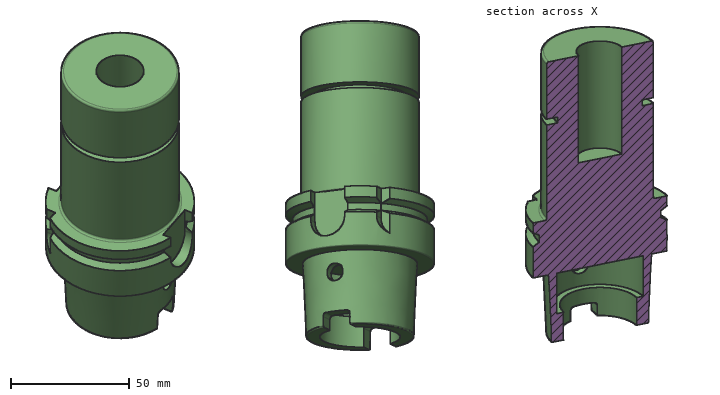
import cadquery as cq
import math


total_length = 132.0
shank_length = 32.0
flange_thickness = 26.0
flange_top = shank_length + flange_thickness
head_length = 26.9
head_bottom = total_length - head_length
neck_length = 2.5
neck_bottom = head_bottom - neck_length

flange_radius = 63.0 / 2
body_radius = 50.0 / 2
neck_radius = 40.0 / 2
head_fillet = 1.0
body_root_fillet = 1.0
flange_bottom_fillet = 0.4

shank_root_radius = 24.3
shank_tip_radius = 22.8
shank_end_fillet = 0.7

groove_center = shank_length + 18.0
groove_radius = 28.5
groove_opening = 6.5
groove_flank_angle = 30.0

edge_margin = 0.1

tool_bore_diameter = 20.0
tool_bore_depth = 50.2
mouth_bore_diameter = 34.0
clamp_bore_diameter = 40.1
clamp_bore_start = 13.2

slot_floor = 26.5
slot_center_height = 45.0
left_slot_width = 16.0
right_slot_width = 18.2
slot_bottom = slot_center_height - left_slot_width / 2

notch_offset = 20.0
notch_width = left_slot_width

drive_slot_width = 12.5
drive_slot_fillet = 1.5
left_drive_slot_depth = 6.1
right_drive_slot_depth = 9.8
cross_hole_diameter = 7.5
cross_hole_height = 23.0


def turned_body():
    """Revolve the outer profile: tapered shank, grooved flange, body, neck and head."""
    flank_height = (flange_radius - groove_radius) * math.tan(math.radians(groove_flank_angle))
    groove_low = groove_center - groove_opening / 2
    groove_high = groove_center + groove_opening / 2
    profile = (
        cq.Workplane("XZ")
        .moveTo(0, 0)
        .lineTo(shank_tip_radius, 0)
        .lineTo(shank_root_radius, shank_length)
        .lineTo(flange_radius, shank_length)
        .lineTo(flange_radius, groove_low)
        .lineTo(groove_radius, groove_low + flank_height)
        .lineTo(groove_radius, groove_high - flank_height)
        .lineTo(flange_radius, groove_high)
        .lineTo(flange_radius, flange_top)
        .lineTo(body_radius, flange_top)
        .lineTo(body_radius, neck_bottom)
        .lineTo(neck_radius, neck_bottom)
        .lineTo(neck_radius, head_bottom)
        .lineTo(body_radius, head_bottom)
        .lineTo(body_radius, total_length)
        .lineTo(0, total_length)
        .close()
    )
    return profile.revolve(360, (0, 0, 0), (0, 1, 0))


def round_rim(solid, radius, height, fillet):
    """Fillet the circular edge of the given radius at the given height."""
    lower_corner = (-radius - edge_margin, -radius - edge_margin, height - edge_margin)
    upper_corner = (radius + edge_margin, radius + edge_margin, height + edge_margin)
    nearby = cq.selectors.BoxSelector(lower_corner, upper_corner, boundingbox=True)
    outermost = cq.selectors.RadiusNthSelector(-1)
    return solid.edges(nearby).edges(outermost).fillet(fillet)


def rim_slot(side, width, center_y, floor, round_center):
    """Round-bottomed cutter running up through the flange top, outside x = side * floor."""
    half_width = width / 2
    return (
        cq.Workplane("YZ", origin=(side * floor, 0, 0))
        .moveTo(center_y - half_width, flange_top)
        .lineTo(center_y - half_width, round_center)
        .threePointArc(
            (center_y, round_center - half_width),
            (center_y + half_width, round_center),
        )
        .lineTo(center_y + half_width, flange_top)
        .close()
        .extrude(side * flange_radius)
    )


def drive_slot(side, depth):
    """Slot across one wall of the shank end, with rounded inner corners."""
    return (
        cq.Workplane("XY")
        .box(flange_radius, drive_slot_width, 2 * depth)
        .edges("|X and >Z")
        .fillet(drive_slot_fillet)
        .translate((side * flange_radius / 2, 0, 0))
    )


holder = turned_body()
for radius, height, fillet in (
    (shank_tip_radius, 0, shank_end_fillet),
    (flange_radius, shank_length, flange_bottom_fillet),
    (body_radius, flange_top, body_root_fillet),
    (body_radius, total_length, head_fillet),
):
    holder = round_rim(holder, radius, height, fillet)

tool_bore = (
    cq.Workplane("XY", origin=(0, 0, total_length - tool_bore_depth))
    .circle(tool_bore_diameter / 2)
    .extrude(tool_bore_depth)
)
holder = holder.cut(tool_bore)

mouth_bore = cq.Workplane("XY").circle(mouth_bore_diameter / 2).extrude(clamp_bore_start)
clamp_bore = (
    cq.Workplane("XY", origin=(0, 0, clamp_bore_start))
    .circle(clamp_bore_diameter / 2)
    .extrude(shank_length - clamp_bore_start)
)
holder = holder.cut(mouth_bore).cut(clamp_bore)

for side, width in ((-1, left_slot_width), (1, right_slot_width)):
    holder = holder.cut(rim_slot(side, width, 0, slot_floor, slot_bottom + width / 2))

notch_center_y = -notch_offset - notch_width / 2
holder = holder.cut(rim_slot(-1, notch_width, notch_center_y, notch_offset, slot_center_height))

for side, depth in ((-1, left_drive_slot_depth), (1, right_drive_slot_depth)):
    holder = holder.cut(drive_slot(side, depth))

cross_hole = (
    cq.Workplane("YZ", origin=(0, 0, cross_hole_height))
    .circle(cross_hole_diameter / 2)
    .extrude(flange_radius, both=True)
)
result = holder.cut(cross_hole)